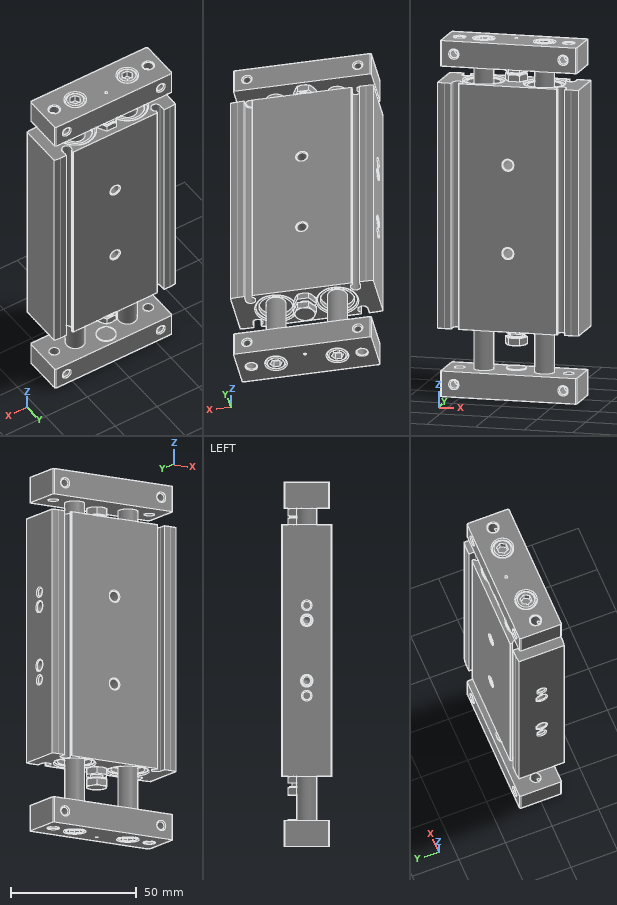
import cadquery as cq
import math


TOTAL_LENGTH = 145.0
PLATE_HEIGHT = 10.5
TOP_GAP = 6.5
HOUSING_LENGTH = 100.0
HOUSING_TOP = TOTAL_LENGTH / 2 - PLATE_HEIGHT - TOP_GAP
HOUSING_BOTTOM = HOUSING_TOP - HOUSING_LENGTH
HOUSING_MIDDLE = (HOUSING_TOP + HOUSING_BOTTOM) / 2

HOUSING_WIDTH = 58.0
HOUSING_DEPTH = 20.0
CROWN_START = 26.1
CROWN_DROP = 0.3
CROWN_RADIUS = ((HOUSING_WIDTH / 2 - CROWN_START) ** 2 + CROWN_DROP ** 2) / (2 * CROWN_DROP)

GROOVE_INNER_X = 20.3
GROOVE_OUTER_X = 23.3
GROOVE_LIP_CHAMFER = 0.3
GROOVE_RADIUS = 2.0
GROOVE_CENTER_X = GROOVE_OUTER_X - GROOVE_RADIUS
GROOVE_CENTER_DEPTH = 2.8

ROD_DIAMETER = 8.0
ROD_X = 12.5
ROD_CHAMFER = 0.6
SOCKET_FLATS = 4.0
SOCKET_CORNERS = SOCKET_FLATS / math.cos(math.pi / 6)
SOCKET_DEPTH = 2.9

COVER_MOUTH_DIAMETER = 17.0
COVER_DIAMETER = 16.0
COVER_DEPTH = 0.7
SEAL_DIAMETER = 13.6
SEAL_DEPTH = 2.6

SMALL_BORE = 3.2
SMALL_MOUTH = 4.2
LARGE_BORE = 4.2
LARGE_MOUTH = 5.0
MOUNT_HOLE_SPACING = 36.0
PORT_OFFSET = 12.0
PORT_DEPTH = 4.4
PORT_DRILL_DIAMETER = 3.2
PORT_DRILL_DEPTH = 5.1
PORT_TIP_HEIGHT = 1.0
SIDE_HOLE_OFFSET = 18.0
SIDE_HOLE_DEPTH = 4.4

PLATE_WIDTH = 56.0
PLATE_DEPTH = 18.0
PLATE_EDGE_CHAMFER = 0.5
PLATE_HOLE_X = 22.5
ROD_SEAT_MOUTH = 9.0
VENT_DIAMETER = 1.0
VENT_DEPTH = 2.9

BOLT_Y = 3.5
HEX_FLATS = 8.0
HEX_CORNERS = HEX_FLATS / math.cos(math.pi / 6)
HEX_BEVEL_ANGLE = math.radians(30)
NUT_HEIGHT = 2.8
HEAD_HEIGHT = 3.0
WASHER_DIAMETER = 6.8
WASHER_HEIGHT = 0.5
SHANK_DIAMETER = 5.0
TOP_BOLT_REACH = TOP_GAP
BOTTOM_BOLT_REACH = 7.5
BUMPER_DIAMETER = 8.0
BUMPER_HEIGHT = 0.5


def cylinder(diameter, height, base, direction):
    """A cylinder that grows from the center of its base along a direction."""
    return cq.Workplane(obj=cq.Solid.makeCylinder(diameter / 2, height, cq.Vector(*base), cq.Vector(*direction)))


def hole_cutter(bore, mouth, depth, base, direction):
    """A bore with a 45 degree chamfered mouth, starting at base and running along direction."""
    chamfer = (mouth - bore) / 2
    cone = cq.Solid.makeCone(mouth / 2, bore / 2, chamfer, cq.Vector(*base), cq.Vector(*direction))
    return cylinder(bore, depth, base, direction).union(cq.Workplane(obj=cone))


def through_hole_cutter(bore, mouth, depth, base, direction):
    """A through bore with a chamfered mouth at both ends."""
    end = [start + depth * step for start, step in zip(base, direction)]
    back = [-step for step in direction]
    return hole_cutter(bore, mouth, depth, base, direction).union(hole_cutter(bore, mouth, depth, end, back))


def groove_cutter():
    """The sensor groove of the front right corner, over the whole housing length."""
    front = -HOUSING_DEPTH / 2
    center_y = front + GROOVE_CENTER_DEPTH
    slot = (
        cq.Workplane("XY", origin=(0, 0, HOUSING_BOTTOM))
        .moveTo(GROOVE_INNER_X - GROOVE_LIP_CHAMFER, front)
        .lineTo(GROOVE_OUTER_X, front)
        .lineTo(GROOVE_OUTER_X, center_y)
        .lineTo(GROOVE_INNER_X, center_y)
        .lineTo(GROOVE_INNER_X, front + GROOVE_LIP_CHAMFER)
        .close()
        .extrude(HOUSING_LENGTH)
    )
    channel_base = (GROOVE_CENTER_X, center_y, HOUSING_BOTTOM)
    return slot.union(cylinder(2 * GROOVE_RADIUS, HOUSING_LENGTH, channel_base, (0, 0, 1)))


def housing_block():
    """The housing profile: flat faces whose outer margins curve slightly down to the sides."""
    side_x = HOUSING_WIDTH / 2
    face_y = HOUSING_DEPTH / 2
    side_y = face_y - CROWN_DROP
    return (
        cq.Workplane("XY", origin=(0, 0, HOUSING_BOTTOM))
        .moveTo(-CROWN_START, -face_y)
        .lineTo(CROWN_START, -face_y)
        .radiusArc((side_x, -side_y), -CROWN_RADIUS)
        .lineTo(side_x, side_y)
        .radiusArc((CROWN_START, face_y), -CROWN_RADIUS)
        .lineTo(-CROWN_START, face_y)
        .radiusArc((-side_x, side_y), -CROWN_RADIUS)
        .lineTo(-side_x, -side_y)
        .radiusArc((-CROWN_START, -face_y), -CROWN_RADIUS)
        .close()
        .extrude(HOUSING_LENGTH)
    )


def cut_grooves(body):
    """The same groove at all four corners of the housing."""
    groove = groove_cutter()
    front_pair = groove.union(groove.mirror("YZ"))
    return body.cut(front_pair).cut(front_pair.mirror("XZ"))


def cut_rod_bores(body):
    """Bores for the rods, with a stepped cover recess at each housing end."""
    for x in (-ROD_X, ROD_X):
        body = body.cut(cylinder(ROD_DIAMETER, HOUSING_LENGTH, (x, 0, HOUSING_BOTTOM), (0, 0, 1)))
        for end_z, inward in ((HOUSING_TOP, -1), (HOUSING_BOTTOM, 1)):
            base = (x, 0, end_z)
            direction = (0, 0, inward)
            body = body.cut(hole_cutter(COVER_DIAMETER, COVER_MOUTH_DIAMETER, COVER_DEPTH, base, direction))
            body = body.cut(cylinder(SEAL_DIAMETER, SEAL_DEPTH, base, direction))
    return body


def cut_mount_holes(body):
    """Chamfered holes through the housing from front to back."""
    for side in (-1, 1):
        base = (0, -HOUSING_DEPTH / 2, HOUSING_MIDDLE + side * MOUNT_HOLE_SPACING / 2)
        body = body.cut(through_hole_cutter(LARGE_BORE, LARGE_MOUTH, HOUSING_DEPTH, base, (0, 1, 0)))
    return body


def cut_side_holes(body):
    """Two air ports and two blind holes in the -X side."""
    side_x = -HOUSING_WIDTH / 2
    inward = (1, 0, 0)
    for side in (-1, 1):
        port = (side_x, 0, HOUSING_MIDDLE + side * PORT_OFFSET)
        body = body.cut(hole_cutter(LARGE_BORE, LARGE_MOUTH, PORT_DEPTH, port, inward))
        body = body.cut(cylinder(PORT_DRILL_DIAMETER, PORT_DRILL_DEPTH, port, inward))
        tip_base = cq.Vector(side_x + PORT_DRILL_DEPTH, 0, port[2])
        tip = cq.Solid.makeCone(PORT_DRILL_DIAMETER / 2, 0, PORT_TIP_HEIGHT, tip_base, cq.Vector(*inward))
        body = body.cut(cq.Workplane(obj=tip))
        blind = (side_x, 0, HOUSING_MIDDLE + side * SIDE_HOLE_OFFSET)
        body = body.cut(hole_cutter(SMALL_BORE, SMALL_MOUTH, SIDE_HOLE_DEPTH, blind, inward))
    return body


def make_housing():
    return cut_side_holes(cut_mount_holes(cut_rod_bores(cut_grooves(housing_block()))))


def make_top_plate():
    """End plate with rod seats, holes along Y and Z near each end, and a blind vent on the bolt axis."""
    top_z = TOTAL_LENGTH / 2
    middle_z = top_z - PLATE_HEIGHT / 2
    plate = (
        cq.Workplane("XY", origin=(0, 0, middle_z))
        .box(PLATE_WIDTH, PLATE_DEPTH, PLATE_HEIGHT)
        .edges("|Z")
        .chamfer(PLATE_EDGE_CHAMFER)
    )
    down = (0, 0, -1)
    for side in (-1, 1):
        hole_x = side * PLATE_HOLE_X
        y_base = (hole_x, -PLATE_DEPTH / 2, middle_z)
        plate = plate.cut(through_hole_cutter(SMALL_BORE, SMALL_MOUTH, PLATE_DEPTH, y_base, (0, 1, 0)))
        z_base = (hole_x, 0, top_z)
        plate = plate.cut(hole_cutter(LARGE_BORE, LARGE_MOUTH, PLATE_HEIGHT, z_base, down))
        seat = hole_cutter(ROD_DIAMETER, ROD_SEAT_MOUTH, PLATE_HEIGHT, (side * ROD_X, 0, top_z), down)
        plate = plate.cut(seat)
    return plate.cut(cylinder(VENT_DIAMETER, VENT_DEPTH, (0, BOLT_Y, top_z), down))


def make_rod(x):
    """Through rod, flush with both plates, with a chamfer and a hex socket at each end."""
    rod = cylinder(ROD_DIAMETER, TOTAL_LENGTH, (x, 0, -TOTAL_LENGTH / 2), (0, 0, 1))
    rod = rod.faces("<Z or >Z").chamfer(ROD_CHAMFER)
    socket = (
        cq.Workplane("XY", origin=(x, 0, TOTAL_LENGTH / 2))
        .polygon(6, SOCKET_CORNERS)
        .extrude(-SOCKET_DEPTH)
    )
    return rod.cut(socket).cut(socket.mirror("XY"))


def hexagon(base_z, height):
    """A hex prism on the bolt axis, with corners toward -X and +X."""
    return (
        cq.Workplane("XY", origin=(0, BOLT_Y, base_z))
        .polygon(6, HEX_CORNERS)
        .extrude(height)
    )


def beveled_hexagon(base_z, height, beveled_end):
    """A hex prism whose corners are turned off by a shallow cone at its top (+1) or bottom (-1) end."""
    bevel_height = (HEX_CORNERS - HEX_FLATS) / 2 * math.tan(HEX_BEVEL_ANGLE)
    envelope = cylinder(HEX_CORNERS, height, (0, BOLT_Y, base_z), (0, 0, 1))
    end_face = ">Z" if beveled_end > 0 else "<Z"
    envelope = envelope.faces(end_face).chamfer(bevel_height, (HEX_CORNERS - HEX_FLATS) / 2)
    return hexagon(base_z, height).intersect(envelope)


def make_bolt(end_z, outward, reach):
    """Adjusting bolt with its lock nut, standing on a housing end and reaching outward from it.

    The nut is beveled at its top on both bolts; each head is beveled at its outer end.
    """
    nut_base = min(end_z, end_z + outward * NUT_HEIGHT)
    nut = beveled_hexagon(nut_base, NUT_HEIGHT, beveled_end=1)
    shank = cylinder(SHANK_DIAMETER, reach, (0, BOLT_Y, end_z), (0, 0, outward))
    tip_z = end_z + outward * reach
    head = beveled_hexagon(min(tip_z, tip_z - outward * HEAD_HEIGHT), HEAD_HEIGHT, outward)
    washer_base = (0, BOLT_Y, tip_z - outward * HEAD_HEIGHT)
    washer = cylinder(WASHER_DIAMETER, WASHER_HEIGHT, washer_base, (0, 0, -outward))
    return nut.union(shank).union(head).union(washer)


def make_bumper():
    """Thin round bumper on the inner face of the bottom plate."""
    base = (0, BOLT_Y, -TOTAL_LENGTH / 2 + PLATE_HEIGHT)
    return cylinder(BUMPER_DIAMETER, BUMPER_HEIGHT, base, (0, 0, 1))


housing = make_housing()
top_plate = make_top_plate()
bottom_plate = top_plate.mirror("XY")
rods = [make_rod(x) for x in (-ROD_X, ROD_X)]
bolts = [
    make_bolt(HOUSING_TOP, 1, TOP_BOLT_REACH),
    make_bolt(HOUSING_BOTTOM, -1, BOTTOM_BOLT_REACH),
]
bumper = make_bumper()

result = cq.Compound.makeCompound(
    [
        housing.val(),
        top_plate.val(),
        bottom_plate.val(),
        *[rod.val() for rod in rods],
        *[bolt.val() for bolt in bolts],
        bumper.val(),
    ]
)